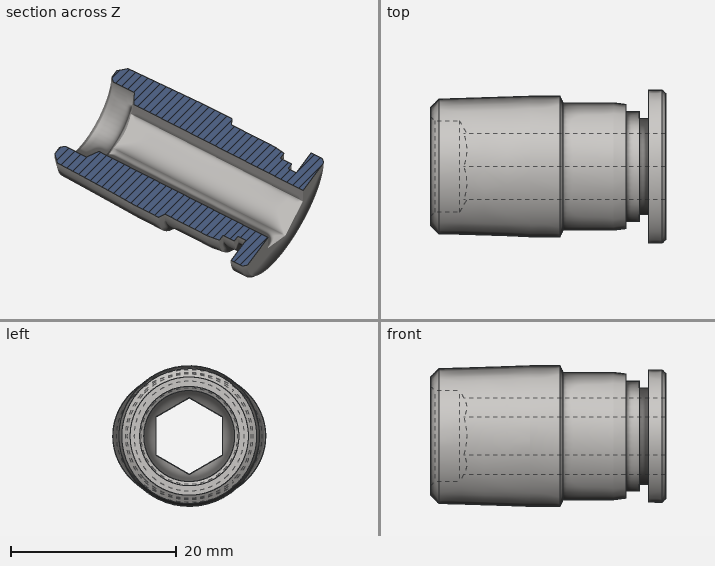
import cadquery as cq
import math

nose_end = 1.0
taper_end = 12.0
grip_end = 15.6
barrel_start = 16.0
barrel_end = 22.1
barrel_lead_end = 23.6
collar_end = 25.2
neck_end = 26.3
overall_length = 28.4

nose_face_radius = 7.15
nose_radius = 8.15
grip_radius = 8.5
barrel_radius = 7.7
barrel_lead_radius = 7.5
collar_radius = 6.65
neck_radius = 5.83

flange_half_width = 9.25
flange_half_height = 8.0
flange_chamfer = 0.45

bore_radius = 5.5
bore_chamfer = 0.5
bore_depth = 3.5
drill_point_angle = 120.0
hex_across_flats = 8.0
hex_sides = 6


def revolve_about_x(profile):
    """Solid swept by a closed (x, radius) profile."""
    return cq.Workplane("XY").polyline(profile).close().revolve(360, (0, 0, 0), (1, 0, 0))


def turned_body():
    """Sleeve, barrel, collar and neck, revolved about X."""
    profile = [
        (0, 0),
        (0, nose_face_radius),
        (nose_end, nose_radius),
        (taper_end, grip_radius),
        (grip_end, grip_radius),
        (barrel_start, barrel_radius),
        (barrel_end, barrel_radius),
        (barrel_lead_end, barrel_lead_radius),
        (barrel_lead_end, collar_radius),
        (collar_end, collar_radius),
        (collar_end, neck_radius),
        (neck_end, neck_radius),
        (neck_end, 0),
    ]
    return revolve_about_x(profile)


def release_flange():
    """Elliptical plate at the rear, chamfered on its outer face."""
    plate = (
        cq.Workplane("YZ", origin=(neck_end, 0, 0))
        .ellipse(flange_half_width, flange_half_height)
        .extrude(overall_length - neck_end)
    )
    return plate.faces(">X").edges().chamfer(flange_chamfer)


def front_bore():
    """Round bore with a chamfered mouth and a conical bottom."""
    point_depth = bore_radius / math.tan(math.radians(drill_point_angle / 2))
    profile = [
        (0, 0),
        (0, bore_radius + bore_chamfer),
        (bore_chamfer, bore_radius),
        (bore_depth, bore_radius),
        (bore_depth + point_depth, 0),
    ]
    return revolve_about_x(profile)


def hex_hole():
    """Hexagonal hole along the full length, with corners pointing to +Z and -Z."""
    across_corners = hex_across_flats / math.cos(math.pi / hex_sides)
    return (
        cq.Workplane("YZ")
        .transformed(rotate=(0, 0, 90))
        .polygon(hex_sides, across_corners)
        .extrude(overall_length)
    )


result = turned_body().union(release_flange()).cut(front_bore()).cut(hex_hole())